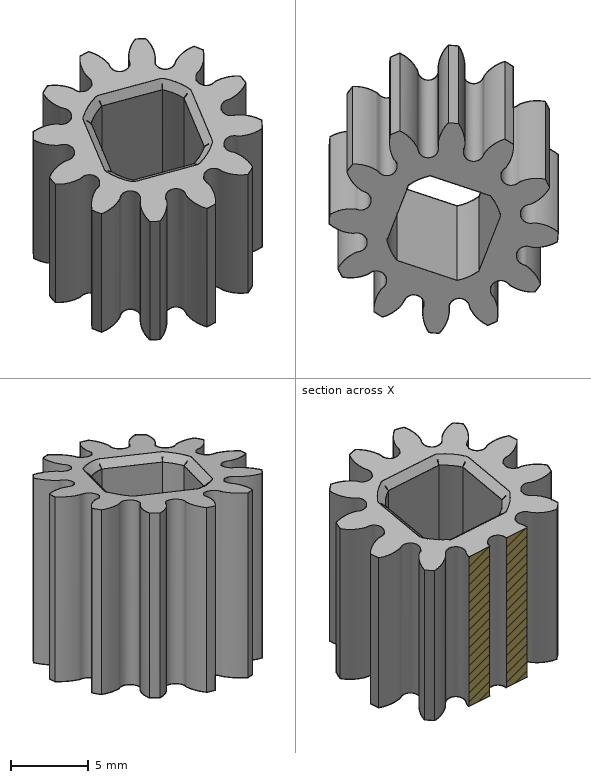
import cadquery as cq
import math

overall_width = 14.47
length = 12.7
tooth_count = 12
tooth_pitch = 2 * math.pi / tooth_count
tip_half_angle = math.radians(2.6)

gap_bottom_radius = 5.04
gap_round_radius = 0.67
gap_round_center = gap_bottom_radius + gap_round_radius
flank_start = (gap_round_radius, 5.82)
flank_middle = (0.97, 6.54)
flank_blend_radius = 0.72
gap_tip_angle = tooth_pitch / 2 - tip_half_angle
tip_radius = overall_width / 2 / math.cos(gap_tip_angle)
flank_end = (tip_radius * math.sin(gap_tip_angle), tip_radius * math.cos(gap_tip_angle))
gap_outer_height = tip_radius + 0.15

bore_width = 6.32
bore_corner_radius = 3.78
chamfer_size = 0.52


def mirrored(point):
    """Mirror a point across the gap centre line."""
    return (-point[0], point[1])


def make_tooth_gap():
    """Cutter for one gap: round bottom, straight runs and two curved flanks."""
    outer_corner = (flank_end[0], gap_outer_height)
    round_end = (gap_round_radius, gap_round_center)
    gap = (
        cq.Workplane("XY")
        .moveTo(*mirrored(round_end))
        .threePointArc((0, gap_bottom_radius), round_end)
        .lineTo(*flank_start)
        .threePointArc(flank_middle, flank_end)
        .lineTo(*outer_corner)
        .lineTo(*mirrored(outer_corner))
        .lineTo(*mirrored(flank_end))
        .threePointArc(mirrored(flank_middle), mirrored(flank_start))
        .close()
        .extrude(length)
    )
    for x, y in (flank_start, mirrored(flank_start)):
        gap = gap.edges(cq.NearestToPointSelector((x, y, length / 2))).fillet(flank_blend_radius)
    return gap


def make_bore():
    """Through bore cutter."""
    square = cq.Workplane("XY").rect(bore_width, bore_width).extrude(length)
    cylinder = cq.Workplane("XY").circle(bore_corner_radius).extrude(length)
    return square.intersect(cylinder)


def make_bore_chamfer(bore):
    """45 degree lead-in at the top, with conical patches at the bore's edges."""
    bore_outline = bore.faces(">Z").wires().val()
    return (
        cq.Workplane("XY", origin=(0, 0, length))
        .add(bore_outline.translate(cq.Vector(0, 0, -chamfer_size)))
        .toPending()
        .extrude(chamfer_size, taper=-45)
    )


gear = cq.Workplane("XY").circle(tip_radius).extrude(length)
tooth_gap = make_tooth_gap()
for index in range(tooth_count):
    gear = gear.cut(tooth_gap.rotate((0, 0, 0), (0, 0, 1), index * 360 / tooth_count))

bore = make_bore()
result = gear.cut(bore).cut(make_bore_chamfer(bore))